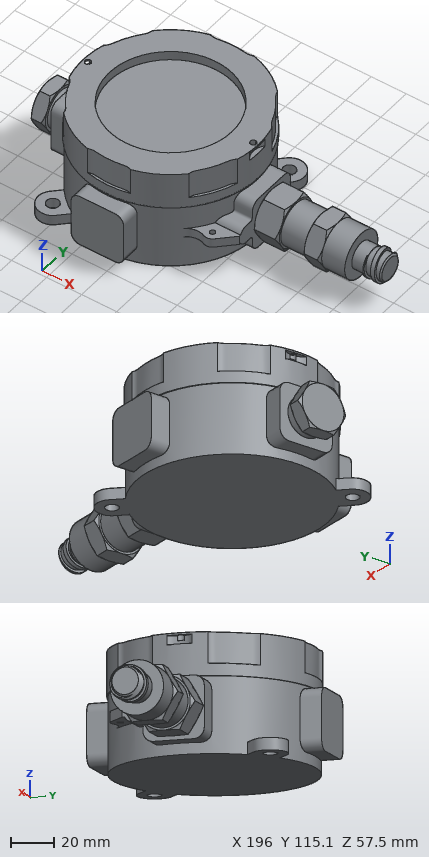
import cadquery as cq
import math

total_height = 57.5
total_width = 115.1
fitting_axis_z = 20.4

housing_radius = 49.5
housing_height = 36.7
boss_size = 30.0
boss_corner_radius = 5.1
boss_reach = total_width / 2

ear_thickness = 5.9
ear_radius = 8.5
ear_hole_diameter = 6.9
ear_hole_circle_radius = 55.9
ear_hole_angles = (46.7, 229.1)
ear_directions = (45, 225)

rib_thickness = 10.2
rib_nose_y = -19.8
rib_fillet = 1.4
tab_thickness = 5.1
tab_hole_x = 45.9
tab_hole_y = -30.2
tab_hole_diameter = 3.0
tab_tip_radius = 4.7
tab_root_radius = 8.8

lid_radius = 50.0
grip_count = 6
grip_bottom_z = 42.5
grip_floor_radius = 48.6
grip_floor_half_angle = 9.6
grip_end_radius = 7.5
slot_radius = 9.0
slot_inner_reach = 47.3
slot_drop = 1.0
slot_height = 4.3
pin_hole_diameter = 3.3
pin_hole_depth = 3.1
pin_hole_x = 47.3

window_diameter = 69.8
window_recess = 5.1
window_thickness = 9.8
window_top_z = total_height - window_recess
window_seat_z = window_top_z - window_thickness

plug_neck_diameter = 21.0
plug_neck_length = 5.3
plug_hex_flats = 24.0
plug_hex_length = 7.8

gland_hex_flats = 26.0
adapter_hex_length = 14.1
adapter_sleeve_diameter = 24.0
adapter_sleeve_length = 14.3
nut_hex_length = 9.8
nut_sleeve_length = 13.1
spout_diameter = 15.0
spout_length = 7.0
thread_core_diameter = 14.5
thread_crest_diameter = 17.0
thread_length = 9.5
thread_pitch = 5.9
thread_ridge_width = 2.4
thread_helix_turns = 3
thread_bevel_angle = 45
thread_crest_offset = 4.1
thread_turns_to_crest = 1.5
thread_end_chamfer = 0.8

hex_chamfer_angle = 30

adapter_start = boss_reach
sleeve_start = adapter_start + adapter_hex_length
nut_start = sleeve_start + adapter_sleeve_length
nut_sleeve_start = nut_start + nut_hex_length
spout_start = nut_sleeve_start + nut_sleeve_length
thread_start = spout_start + spout_length


def disc(radius, bottom, top):
    """A cylinder on the Z axis."""
    return cq.Workplane().workplane(offset=bottom).circle(radius).extrude(top - bottom)


def at_angle(radius, angle):
    """The X, Y point at a distance and an angle in degrees from the Z axis."""
    return (radius * math.cos(math.radians(angle)), radius * math.sin(math.radians(angle)))


def fitting_plane(x):
    """A workplane facing +X on the fitting axis."""
    return cq.Workplane("YZ", origin=(x, 0, fitting_axis_z))


def rod(diameter, start_x, length):
    """A cylinder on the fitting axis."""
    return fitting_plane(start_x).circle(diameter / 2).extrude(length)


def hexagon(flats, start_x, length):
    """A hexagon on the fitting axis with its corners turned off at both ends."""
    corner_diameter = flats / math.cos(math.pi / 6)
    turned_off = (corner_diameter - flats) / 2
    chamfer_length = turned_off * math.tan(math.radians(hex_chamfer_angle))
    blank = rod(corner_diameter, start_x, length).faces("<X or >X").chamfer(chamfer_length, turned_off)
    prism = fitting_plane(start_x).polygon(6, corner_diameter).extrude(length)
    return prism.intersect(blank)


def bosses():
    """Two crossed bars with rounded edges; their four ends are the bosses."""
    bar = cq.Workplane().box(2 * boss_reach, boss_size, boss_size)
    along_x = bar.edges("|X").fillet(boss_corner_radius)
    along_y = along_x.rotate((0, 0, 0), (0, 0, 1), 90)
    return along_x.union(along_y).translate((0, 0, fitting_axis_z))


def mounting_ear(hole_angle, direction):
    """A round-ended ear with its sides along a direction, running into the housing."""
    hole_x, hole_y = at_angle(ear_hole_circle_radius, hole_angle)
    arm_length = ear_hole_circle_radius / 2
    arm = (
        cq.Workplane()
        .center(-arm_length / 2, 0)
        .rect(arm_length, 2 * ear_radius)
        .extrude(ear_thickness)
        .rotate((0, 0, 0), (0, 0, 1), direction)
    )
    return arm.union(disc(ear_radius, 0, ear_thickness)).translate((hole_x, hole_y, 0))


def ear_hole(hole_angle):
    hole = cq.Workplane().center(*at_angle(ear_hole_circle_radius, hole_angle))
    return hole.circle(ear_hole_diameter / 2).extrude(ear_thickness)


def lug_rib():
    """Rib beside the boss, with a full-round nose and fillets where it meets the boss."""
    half = rib_thickness / 2
    boss_side_y = -boss_size / 2
    fillet_end_y = boss_side_y - rib_fillet
    return (
        cq.Workplane("YZ", origin=(0, 0, fitting_axis_z))
        .moveTo(0, half + rib_fillet)
        .lineTo(boss_side_y, half + rib_fillet)
        .radiusArc((fillet_end_y, half), rib_fillet)
        .lineTo(rib_nose_y, half)
        .threePointArc((rib_nose_y - half, 0), (rib_nose_y, -half))
        .lineTo(fillet_end_y, -half)
        .radiusArc((boss_side_y, -half - rib_fillet), rib_fillet)
        .lineTo(0, -half - rib_fillet)
        .close()
        .extrude(boss_reach)
    )


def lug_tab():
    """Thin tab with a rounded tip; a hollow arc blends the tip into the housing wall."""
    hole_distance = math.hypot(tab_hole_x, tab_hole_y)
    hole_angle = math.degrees(math.atan2(tab_hole_y, tab_hole_x))
    to_root = housing_radius + tab_root_radius
    tip_to_root = tab_tip_radius + tab_root_radius
    cos_between = (to_root**2 + hole_distance**2 - tip_to_root**2) / (2 * to_root * hole_distance)
    root_angle = hole_angle - math.degrees(math.acos(cos_between))
    root_x, root_y = at_angle(to_root, root_angle)

    wall_point = at_angle(housing_radius, root_angle)
    share = tab_tip_radius / tip_to_root
    blend_point = (
        tab_hole_x + share * (root_x - tab_hole_x),
        tab_hole_y + share * (root_y - tab_hole_y),
    )
    tip_offset = tab_tip_radius * math.sqrt(0.5)
    slope_point = (tab_hole_x + tip_offset, tab_hole_y - tip_offset)
    slope_end = (boss_reach, slope_point[1] + boss_reach - slope_point[0])
    return (
        cq.Workplane(origin=(0, 0, fitting_axis_z - tab_thickness / 2))
        .moveTo(0, 0)
        .lineTo(*wall_point)
        .radiusArc(blend_point, tab_root_radius)
        .radiusArc(slope_point, -tab_tip_radius)
        .lineTo(*slope_end)
        .lineTo(boss_reach, 0)
        .close()
        .moveTo(tab_hole_x, tab_hole_y)
        .circle(tab_hole_diameter / 2)
        .extrude(tab_thickness)
    )


def make_housing():
    body = disc(housing_radius, 0, housing_height).union(bosses())
    for hole_angle, direction in zip(ear_hole_angles, ear_directions):
        body = body.union(mounting_ear(hole_angle, direction)).cut(ear_hole(hole_angle))
    return body.union(lug_rib()).union(lug_tab())


def grip_notch(angle):
    """Shallow notch in the rim: a concentric floor with a hollow round at each end."""
    base = cq.Workplane(origin=(0, 0, grip_bottom_z))
    depth = total_height - grip_bottom_z
    far = lid_radius + grip_end_radius
    left = at_angle(far, angle + grip_floor_half_angle)
    right = at_angle(far, angle - grip_floor_half_angle)
    sector = base.polyline([(0, 0), right, left]).close().extrude(depth)
    notch = sector.cut(disc(grip_floor_radius, grip_bottom_z, total_height))
    for end_angle in (angle - grip_floor_half_angle, angle + grip_floor_half_angle):
        end_centre = at_angle(grip_floor_radius + grip_end_radius, end_angle)
        notch = notch.union(base.center(*end_centre).circle(grip_end_radius).extrude(depth))
    return notch


def seal_slot(side):
    """Curved slot into the rim on the +X or -X side, below the top face."""
    slot_top = total_height - slot_drop
    return (
        cq.Workplane(origin=(side * (slot_inner_reach + slot_radius), 0, slot_top))
        .circle(slot_radius)
        .extrude(-slot_height)
    )


def pin_hole(side):
    """Blind hole from the top face into the rim slot."""
    return (
        cq.Workplane(origin=(side * pin_hole_x, 0, total_height))
        .circle(pin_hole_diameter / 2)
        .extrude(-pin_hole_depth)
    )


def make_lid():
    lid = disc(lid_radius, housing_height, total_height)
    lid = lid.cut(disc(window_diameter / 2, window_seat_z, total_height))
    for index in range(grip_count):
        lid = lid.cut(grip_notch(90 + index * 360 / grip_count))
    for side in (-1, 1):
        lid = lid.cut(seal_slot(side)).cut(pin_hole(side))
    return lid


def make_window():
    return disc(window_diameter / 2, window_seat_z, window_top_z)


def make_plug():
    neck_start = -boss_reach - plug_neck_length
    neck = rod(plug_neck_diameter, neck_start, plug_neck_length)
    return neck.union(hexagon(plug_hex_flats, neck_start - plug_hex_length, plug_hex_length))


def make_adapter():
    sleeve = rod(adapter_sleeve_diameter, sleeve_start, adapter_sleeve_length)
    return hexagon(gland_hex_flats, adapter_start, adapter_hex_length).union(sleeve)


def make_gland_nut():
    sleeve = rod(gland_hex_flats, nut_sleeve_start, nut_sleeve_length)
    return hexagon(gland_hex_flats, nut_start, nut_hex_length).union(sleeve)


def thread_ridge():
    """Square-edged right-hand ridge, trimmed to the length of the thread."""
    core_radius = thread_core_diameter / 2
    crest_radius = thread_crest_diameter / 2
    sunk_radius = core_radius - (crest_radius - core_radius) / 2
    path = cq.Workplane(cq.Wire.makeHelix(thread_pitch, thread_helix_turns * thread_pitch, core_radius))
    ridge = (
        cq.Workplane("XZ")
        .center((sunk_radius + crest_radius) / 2, 0)
        .rect(crest_radius - sunk_radius, thread_ridge_width)
        .sweep(path, isFrenet=True)
        .rotate((0, 0, 0), (0, 1, 0), 90)
    )
    ridge_start = thread_start + thread_crest_offset - thread_turns_to_crest * thread_pitch
    ridge = ridge.translate((ridge_start, 0, fitting_axis_z))
    return ridge.intersect(rod(2 * thread_crest_diameter, thread_start, thread_length))


def make_threaded_spout():
    """Plain spout and thread, with a bevel across the core and the ridge at the end."""
    full_length = spout_length + thread_length
    thread = rod(thread_core_diameter, thread_start, thread_length).union(thread_ridge())
    spout = rod(spout_diameter, spout_start, spout_length)
    end_radius = thread_core_diameter / 2 - thread_end_chamfer
    cone_radius = end_radius + full_length * math.tan(math.radians(thread_bevel_angle))
    bevel_cone = fitting_plane(spout_start).circle(cone_radius).extrude(full_length, taper=thread_bevel_angle)
    return thread.union(spout).intersect(bevel_cone)


housing = make_housing()
lid = make_lid()
window = make_window()
plug = make_plug()
adapter = make_adapter()
gland_nut = make_gland_nut()
threaded_spout = make_threaded_spout()

bodies = [housing, lid, window, plug, adapter, gland_nut, threaded_spout]
result = cq.Compound.makeCompound([body.val() for body in bodies])